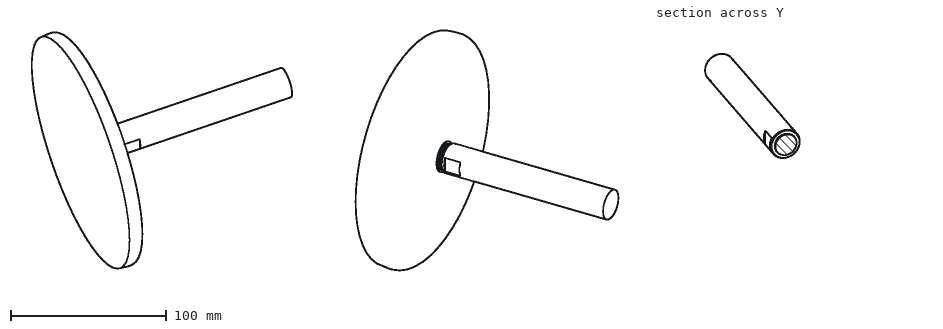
import cadquery as cq
import math


plate_radius = 79.0
sole_radius = 78.5
draft_height = 4.5
rim_height = 7.1
shoulder_radius = 2.7
cone_angle = math.radians(9.4)
cone_top_radius = 10.3

step_rise = 0.5
collar_base_radius = 8.8
waist_radius = 8.4
waist_rise = 1.0
lip_radius = 8.8
lip_rise = 1.0

total_length = 144.0
shank_radius = 20.0 / 2
shank_start = 24.2
shank_chamfer = 0.5
neck_radius = 7.5

flat_start = 26.2
flat_length = 11.4
across_flats = 17.4

shoulder_center_radius = plate_radius - shoulder_radius
arc_mid_angle = (math.pi / 2 - cone_angle) / 2
cone_base_radius = shoulder_center_radius + shoulder_radius * math.sin(cone_angle)
cone_base_height = rim_height + shoulder_radius * math.cos(cone_angle)
cone_top_height = cone_base_height + (cone_base_radius - cone_top_radius) * math.tan(cone_angle)
step_height = cone_top_height + step_rise
waist_height = step_height + waist_rise
collar_top = waist_height + lip_rise


def revolve_about_y(profile):
    """Turn a closed half profile in the XY plane around the Y axis."""
    return profile.close().revolve(360, (0, 0, 0), (0, 1, 0))


def make_foot():
    """Conical plate with a rounded shoulder and a small waisted collar."""
    shoulder_mid = (
        shoulder_center_radius + shoulder_radius * math.cos(arc_mid_angle),
        rim_height + shoulder_radius * math.sin(arc_mid_angle),
    )
    profile = (
        cq.Workplane("XY")
        .lineTo(sole_radius, 0)
        .lineTo(plate_radius, draft_height)
        .lineTo(plate_radius, rim_height)
        .threePointArc(shoulder_mid, (cone_base_radius, cone_base_height))
        .lineTo(cone_top_radius, cone_top_height)
        .lineTo(cone_top_radius, step_height)
        .lineTo(collar_base_radius, step_height)
        .lineTo(waist_radius, waist_height)
        .lineTo(lip_radius, collar_top)
        .lineTo(0, collar_top)
    )
    return revolve_about_y(profile)


def make_stud():
    """Round shank on a short neck, with two wrench flats facing -X and +X."""
    profile = (
        cq.Workplane("XY")
        .moveTo(0, collar_top)
        .lineTo(neck_radius, collar_top)
        .lineTo(neck_radius, shank_start)
        .lineTo(shank_radius - shank_chamfer, shank_start)
        .lineTo(shank_radius, shank_start + shank_chamfer)
        .lineTo(shank_radius, total_length)
        .lineTo(0, total_length)
    )
    stud = revolve_about_y(profile)
    cutter_size = 2 * shank_radius
    for side in (-1, 1):
        cutter_center_x = side * (across_flats + cutter_size) / 2
        cutter = cq.Workplane("XY").box(cutter_size, flat_length, cutter_size)
        stud = stud.cut(cutter.translate((cutter_center_x, flat_start + flat_length / 2, 0)))
    return stud


foot = make_foot()
stud = make_stud()
result = cq.Compound.makeCompound([foot.val(), stud.val()])